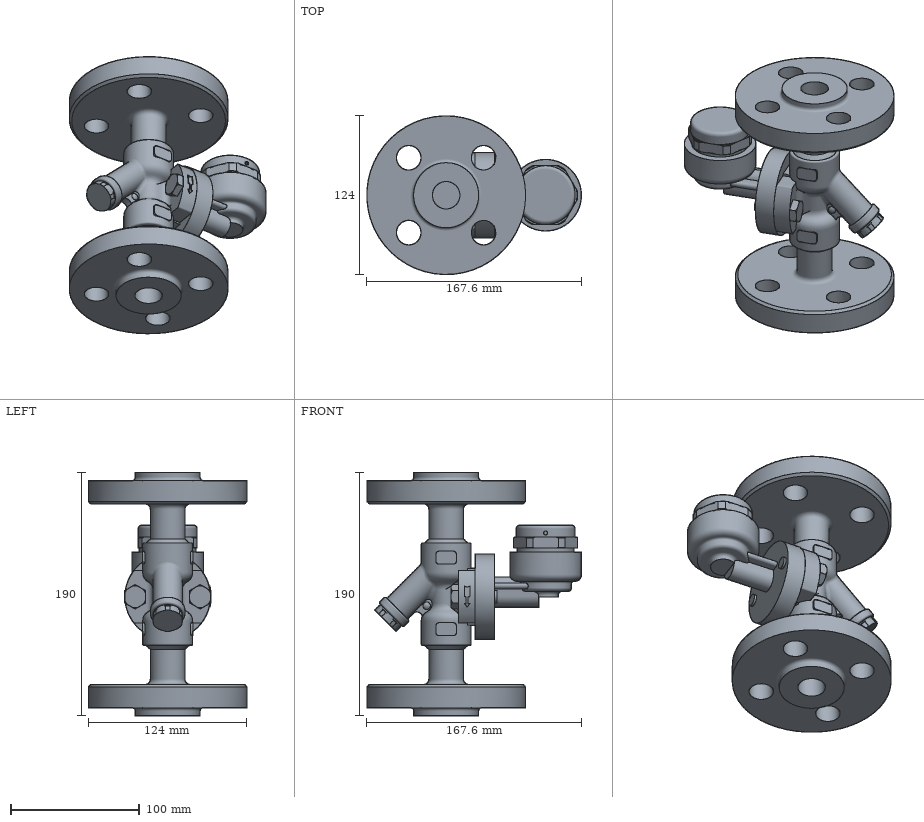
import cadquery as cq
import math

arc_45 = 1 - math.sqrt(0.5)

overall_height = 190.0
half_height = overall_height / 2
flange_dia = 124.0
flange_thickness = 18.3
flange_chamfer = 2.0
raised_face_dia = 50.8
raised_face_height = 6.35
raised_face_root_dia = 56.0
bore_dia = 21.4
bore_depth = raised_face_height + flange_thickness
bolt_hole_dia = 19.0
bolt_circle_dia = 82.6
flange_outer_z = half_height - raised_face_height
flange_inner_z = flange_outer_z - flange_thickness

pipe_dia = 27.2
pipe_root_dia = 35.0
hub_dia = 39.0
hub_end_z = 40.0
hub_shoulder_dia = 33.6
hub_edge_round = 1.2
hub_dome_radius = 8.0
hub_dome_start = 18.8
hub_dome_angle = 55.0
waist_dia = 23.0
waist_fillet_radius = 6.0

pad_width = 16.0
pad_height = 10.2
pad_corner = 2.5
pad_rise = 0.1
pad_face_y = hub_dia / 2 + pad_rise
pad_centers_z = (28.5, -27.3)

branch_angle = 45.0
branch_end = (-47.5, -20.7)
branch_dia = 23.0
branch_length = 56.0
branch_root_round = 3.0
web_thickness = 6.0
web_edge_start = (-25.7, -14.7)
web_edge_middle = (-21.3, -14.2)
web_edge_end = (-18.5, -17.4)
web_hub_corner = (-10.0, -17.0)
web_waist_corner = (-5.0, 0.0)
web_branch_corner = (-14.0, 2.0)
web_boss_dia = 8.4
web_boss_center = (-15.2, 0, -9.0)
collar_dia = 27.0
collar_start = 6.3
collar_length = 7.0
collar_round = 1.5
plug_flats = 22.0
plug_corner_dia = 23.6
plug_height = 5.0
plug_groove_dia = 21.0

trap_z = -2.0
disc_dia = 67.0
plate_dia = 66.6
plate_start_x = 9.6
disc_start_x = 22.7
disc_end_x = 37.8
plate_half_height = 20.6
plate_edge_round = 1.6
rib_width = 20.0
rib_half_height = 22.4
rib_crest_x = 20.0
bridge_fillet_radius = 5.0
bridge_half_height = 13.0

arrow_x = 16.4
arrow_half_width = 2.1
arrow_stem_half_width = 0.75
arrow_tail_z = 6.3
arrow_tail_notch = 0.8
arrow_tail_end_z = -1.5
arrow_head_z = -7.2
arrow_tip_z = -10.0
arrow_rise = 0.7

bolt_offset_y = 25.4
head_corner_dia = 19.0
head_height = 5.7
head_chamfer = 1.0
stud_dia = 9.5
stud_projection = 1.8

lower_arm_radius = 8.2
lower_arm_end_x = 72.3
lower_arm_top_z = 4.0
upper_arm_z = 6.3
upper_arm_dia = 14.4
wing_width = 30.0
wing_thickness = 4.8

overall_length = 167.61
cover_dia = 56.0
cover_x = overall_length - flange_dia / 2 - cover_dia / 2
cap_dia = 46.1
cap_top_z = 54.0
cap_round = 3.0
nut_flats = cap_dia
nut_corner_dia = 50.2
nut_top_z = 44.5
nut_bottom_z = 35.9
nut_chamfer = 0.6
cover_neck_dia = 44.4
cover_top_z = 32.9
cover_bottom_z = 10.0
cover_round = 5.0
step_dia = 40.4
step_root_round = 1.8
step_bottom_z = 2.1
step_round = 2.8
stem_dia = 19.8
stem_root_round = 3.0
stem_bottom_z = -2.3
vent_dia = 3.0
vent_depth = 1.0
vent_z = 47.8


def cylinder_z(diameter, z_low, z_high):
    return cq.Workplane("XY").workplane(offset=z_low).circle(diameter / 2).extrude(z_high - z_low)


def cylinder_x(diameter, x_low, x_high, y, z):
    return cq.Workplane("YZ", origin=(x_low, y, z)).circle(diameter / 2).extrude(x_high - x_low)


def hexagon_diameter(across_flats):
    return across_flats / math.cos(math.pi / 6)


def end_profile(side):
    """One pipe end revolved about Z: flange, neck, hub and half the waist. side is +1 (top) or -1."""
    face_fillet = (raised_face_root_dia - raised_face_dia) / 2
    pipe_fillet = (pipe_root_dia - pipe_dia) / 2
    dome_z = side * trap_z + hub_dome_start
    dome_angle = math.radians(hub_dome_angle)
    sine = math.sin(dome_angle)
    rise = 1 - math.cos(dome_angle)
    half_sine = math.sin(dome_angle / 2)
    half_rise = 1 - math.cos(dome_angle / 2)
    dome_end_radius = hub_dia / 2 - hub_dome_radius * rise
    dome_end_z = dome_z - hub_dome_radius * sine
    cone_end_radius = waist_dia / 2 + waist_fillet_radius * rise
    cone_end_z = dome_end_z - (dome_end_radius - cone_end_radius) / math.tan(dome_angle)
    waist_z = cone_end_z - waist_fillet_radius * sine
    outline = (
        cq.Workplane("XZ")
        .moveTo(0, half_height)
        .lineTo(raised_face_dia / 2, half_height)
        .lineTo(raised_face_dia / 2, flange_outer_z + face_fillet)
        .threePointArc(
            (raised_face_dia / 2 + face_fillet * arc_45, flange_outer_z + face_fillet * arc_45),
            (raised_face_root_dia / 2, flange_outer_z),
        )
        .lineTo(flange_dia / 2, flange_outer_z)
        .lineTo(flange_dia / 2, flange_inner_z + flange_chamfer)
        .lineTo(flange_dia / 2 - flange_chamfer, flange_inner_z)
        .lineTo(pipe_root_dia / 2, flange_inner_z)
        .threePointArc(
            (pipe_dia / 2 + pipe_fillet * arc_45, flange_inner_z - pipe_fillet * arc_45),
            (pipe_dia / 2, flange_inner_z - pipe_fillet),
        )
        .lineTo(pipe_dia / 2, hub_end_z + (hub_shoulder_dia - pipe_dia) / 2)
        .lineTo(hub_shoulder_dia / 2, hub_end_z)
        .lineTo(hub_dia / 2 - hub_edge_round, hub_end_z)
        .threePointArc(
            (hub_dia / 2 - hub_edge_round * arc_45, hub_end_z - hub_edge_round * arc_45),
            (hub_dia / 2, hub_end_z - hub_edge_round),
        )
        .lineTo(hub_dia / 2, dome_z)
        .threePointArc(
            (hub_dia / 2 - hub_dome_radius * half_rise, dome_z - hub_dome_radius * half_sine),
            (dome_end_radius, dome_end_z),
        )
        .lineTo(cone_end_radius, cone_end_z)
        .threePointArc(
            (waist_dia / 2 + waist_fillet_radius * half_rise, waist_z + waist_fillet_radius * half_sine),
            (waist_dia / 2, waist_z),
        )
        .lineTo(waist_dia / 2, side * trap_z)
        .lineTo(0, side * trap_z)
        .close()
    )
    solid = outline.revolve(360, (0, 0, 0), (0, 1, 0))
    return solid if side > 0 else solid.mirror("XY")


def branch_plane(distance=0.0):
    """Workplane across the branch, at a distance from the plug end face; +Z points into the body."""
    angle = math.radians(branch_angle)
    direction = (math.cos(angle), 0, math.sin(angle))
    origin = (branch_end[0] + distance * direction[0], 0, branch_end[1] + distance * direction[2])
    return cq.Workplane(cq.Plane(origin=origin, xDir=(0, 1, 0), normal=direction))


def make_branch_pipe():
    return branch_plane().circle(branch_dia / 2).extrude(branch_length)


def make_body():
    body = end_profile(1).union(end_profile(-1)).union(make_branch_pipe()).val()
    seams = [edge for edge in body.Edges() if edge.geomType() not in ("LINE", "CIRCLE")]
    return cq.Workplane(body.fillet(branch_root_round, seams))


def make_branch_end():
    collar = branch_plane(collar_start).circle(collar_dia / 2).extrude(collar_length)
    collar = collar.edges().fillet(collar_round)
    groove = branch_plane().circle(plug_groove_dia / 2).extrude(collar_start + collar_length)
    plug = branch_plane().transformed(rotate=(0, 0, 90)).polygon(6, hexagon_diameter(plug_flats))
    plug = plug.extrude(plug_height)
    plug = plug.intersect(branch_plane().circle(plug_corner_dia / 2).extrude(plug_height))
    return collar.union(groove).union(plug)


def make_pads():
    pads = cq.Workplane("XY")
    for z in pad_centers_z:
        pad = cq.Workplane("XY").box(pad_width, 2 * pad_face_y, pad_height)
        pads = pads.add(pad.edges("|Y").fillet(pad_corner).translate((0, 0, z)))
    return pads.combine()


def make_connector():
    disc = cylinder_x(disc_dia, disc_start_x, disc_end_x, 0, trap_z)
    plate = cylinder_x(plate_dia, plate_start_x, disc_start_x, 0, trap_z)
    limits = cq.Workplane("XY").box(2 * disc_start_x, plate_dia, 2 * plate_half_height)
    plate = plate.intersect(limits.translate((disc_start_x, 0, trap_z)))
    plate = plate.edges("|X").fillet(plate_edge_round)
    rib = (
        cq.Workplane("XZ", origin=(0, 0, trap_z))
        .moveTo(plate_start_x, -plate_half_height)
        .lineTo(rib_crest_x, -rib_half_height)
        .lineTo(disc_start_x, -rib_half_height)
        .lineTo(disc_start_x, rib_half_height)
        .lineTo(rib_crest_x, rib_half_height)
        .lineTo(plate_start_x, plate_half_height)
        .close()
        .extrude(rib_width / 2, both=True)
    )
    return disc.union(plate).union(rib).union(make_bridge()).union(make_arrow())


def make_arrow():
    """Arrow pointing down, standing slightly proud of the plate rim and following its curve."""
    half_outline = [
        (arrow_half_width, arrow_tail_z),
        (arrow_half_width, arrow_tail_end_z),
        (arrow_stem_half_width, arrow_tail_end_z - arrow_tail_notch),
        (arrow_stem_half_width, arrow_head_z),
        (arrow_half_width, arrow_head_z),
    ]
    mirrored = [(-x, z) for x, z in reversed(half_outline)]
    outline = half_outline + [(0, arrow_tip_z)] + mirrored + [(0, arrow_tail_z - arrow_tail_notch)]
    prism = cq.Workplane("XZ", origin=(arrow_x, 0, 0)).polyline(outline).close().extrude(plate_dia)
    rim = cylinder_x(plate_dia + 2 * arrow_rise, plate_start_x, disc_start_x, 0, trap_z)
    core = cylinder_x(bolt_offset_y * 2, plate_start_x, disc_start_x, 0, trap_z)
    return prism.intersect(rim.cut(core))


def make_bridge():
    """Web from the waist to the connector plate, flared where it meets the plate."""
    waist = waist_dia / 2
    radius = bridge_fillet_radius
    fillet_x = plate_start_x - radius
    outline = (
        cq.Workplane("XY", origin=(0, 0, trap_z - bridge_half_height))
        .moveTo(0, -waist)
        .lineTo(fillet_x, -waist)
        .threePointArc(
            (plate_start_x - radius * arc_45, -waist - radius * arc_45),
            (plate_start_x, -waist - radius),
        )
        .lineTo(plate_start_x, waist + radius)
        .threePointArc(
            (plate_start_x - radius * arc_45, waist + radius * arc_45),
            (fillet_x, waist),
        )
        .lineTo(0, waist)
        .close()
    )
    return outline.extrude(2 * bridge_half_height)


def make_branch_web():
    """Curved web with a ball-shaped boss in the corner between the branch and the lower hub."""
    web = (
        cq.Workplane("XZ")
        .moveTo(*web_edge_start)
        .threePointArc(web_edge_middle, web_edge_end)
        .lineTo(*web_hub_corner)
        .lineTo(*web_waist_corner)
        .lineTo(*web_branch_corner)
        .close()
        .extrude(web_thickness / 2, both=True)
    )
    return web.union(cq.Workplane("XY").sphere(web_boss_dia / 2).translate(web_boss_center))


def make_bolt(y):
    head_x = plate_start_x - head_height
    head = (
        cq.Workplane("YZ", origin=(head_x, y, trap_z))
        .transformed(rotate=(0, 0, 90))
        .polygon(6, head_corner_dia)
        .extrude(head_height)
    )
    rounding = cylinder_x(head_corner_dia, head_x, plate_start_x, y, trap_z)
    rounding = rounding.faces("<X").edges().chamfer(head_chamfer)
    stud = cylinder_x(stud_dia, plate_start_x, disc_end_x + stud_projection, y, trap_z)
    return head.intersect(rounding).union(stud)


def make_lower_arm():
    """Arm with a half-round underside, straight sides and a flat top."""
    radius = lower_arm_radius
    outline = (
        cq.Workplane("YZ", origin=(disc_end_x, 0, trap_z))
        .moveTo(-radius, 0)
        .threePointArc((0, -radius), (radius, 0))
        .lineTo(radius, lower_arm_top_z - trap_z)
        .lineTo(-radius, lower_arm_top_z - trap_z)
        .close()
    )
    return outline.extrude(lower_arm_end_x - disc_end_x)


def make_upper_arm():
    """Round arm with a flat wing on each side; the wing edges are half round."""
    core = cylinder_x(upper_arm_dia, disc_end_x, cover_x, 0, upper_arm_z)
    wings = (
        cq.Workplane("YZ", origin=(disc_end_x, 0, upper_arm_z))
        .slot2D(wing_width, wing_thickness)
        .extrude(cover_x - disc_end_x)
    )
    return core.union(wings)


def root_fillet(diameter, radius, z):
    """Ring filling the corner below the plane at height z, around a Z cylinder of the given diameter."""
    inner = diameter / 2
    return (
        cq.Workplane("XZ")
        .moveTo(0, z)
        .lineTo(inner + radius, z)
        .threePointArc((inner + radius * arc_45, z - radius * arc_45), (inner, z - radius))
        .lineTo(0, z - radius)
        .close()
        .revolve(360, (0, 0, 0), (0, 1, 0))
    )


def make_cover():
    """Cover built about the Z axis and then moved to its place at cover_x."""
    cap = cylinder_z(cap_dia, nut_top_z, cap_top_z).faces(">Z").edges().fillet(cap_round)
    nut_height = nut_top_z - nut_bottom_z
    nut = cq.Workplane("XY", origin=(0, 0, nut_bottom_z)).polygon(6, hexagon_diameter(nut_flats))
    nut = nut.extrude(nut_height)
    nut = nut.intersect(cylinder_z(nut_corner_dia, nut_bottom_z, nut_top_z).edges().chamfer(nut_chamfer))
    neck = cylinder_z(cover_neck_dia, cover_top_z, nut_bottom_z)
    bowl = cylinder_z(cover_dia, cover_bottom_z, cover_top_z).faces("<Z").edges().fillet(cover_round)
    step = cylinder_z(step_dia, step_bottom_z, cover_bottom_z).faces("<Z").edges().fillet(step_round)
    stem = cylinder_z(stem_dia, stem_bottom_z, step_bottom_z)
    cover = cap.union(nut).union(neck).union(bowl)
    cover = cover.union(step).union(root_fillet(step_dia, step_root_round, cover_bottom_z))
    cover = cover.union(stem).union(root_fillet(stem_dia, stem_root_round, step_bottom_z))
    vent = cq.Workplane("XZ", origin=(0, -cap_dia / 2 + vent_depth, vent_z)).circle(vent_dia / 2)
    vent = vent.extrude(2 * vent_depth)
    return cover.cut(vent).translate((cover_x, 0, 0))


def make_flange_holes():
    hole_spacing = bolt_circle_dia / math.sqrt(2)
    holes = (
        cq.Workplane("XY")
        .workplane(offset=-half_height)
        .rect(hole_spacing, hole_spacing, forConstruction=True)
        .vertices()
        .circle(bolt_hole_dia / 2)
        .extrude(half_height - flange_inner_z)
    )
    bore = cylinder_z(bore_dia, half_height - bore_depth, half_height)
    lower_end = holes.add(bore.mirror("XY")).combine()
    return lower_end.union(lower_end.mirror("XY"))


result = make_body().union(make_branch_end()).union(make_branch_web())
result = result.union(make_pads()).union(make_connector())
for bolt_y in (-bolt_offset_y, bolt_offset_y):
    result = result.union(make_bolt(bolt_y))
result = result.union(make_lower_arm()).union(make_upper_arm())
result = result.union(make_cover()).cut(make_flange_holes())